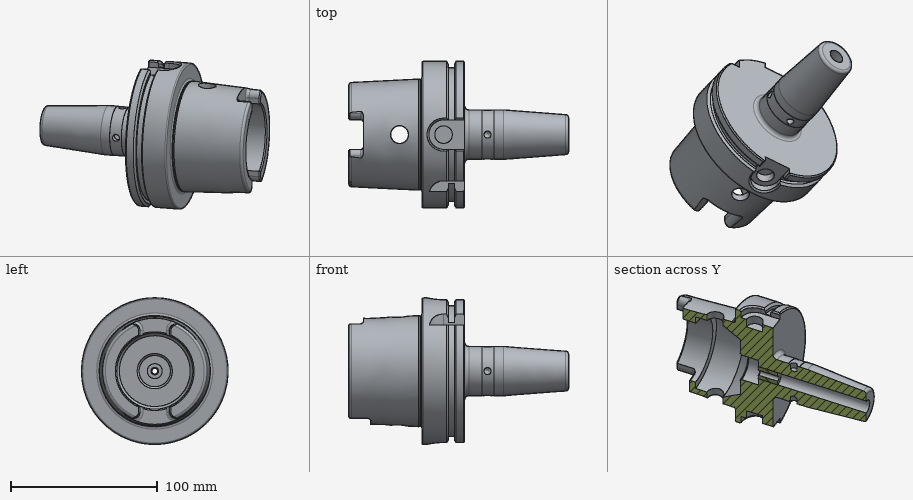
import cadquery as cq
import math

total_length = 150.0
shank_length = 50.0
flange_end = 79.0
overshoot = 1.5

shank_front_radius = 35.5
shank_rear_radius = 38.0
shank_edge_fillet = 2.0
relief_start = 47.7
relief_slope = 0.9
relief_radius = 37.6
root_length = 0.7
root_radius = 39.6
root_arc_radius = 2.8

flange_radius = 100.0 / 2
flange_edge_size = 0.9
groove_start = 66.7
groove_end = 73.2
groove_lip_width = 1.2
groove_lip_depth = 2.1
groove_radius = 45.7

neck_radius = 17.0
neck_fillet = 2.8
band_start = 90.9
band_end = 99.1
band_radius = 16.8
nose_start = 105.4
nose_angle = 4.4
nose_fillet = 2.2

mouth_radius = 26.0
mouth_chamfer = 0.9
mouth_depth = 20.0
cavity_radius = 31.5
cavity_end = 41.0
cavity_floor_radius = 24.1
cavity_cone_angle = 30.0
pipe_radius = 10.6
pipe_chamfer = 1.3
pipe_floor = 67.5

screw_radius = 5.1
screw_length = 15.0
screw_bore_radius = 2.0
screw_bore_chamfer = 0.6

slot_half_width = 10.0
upper_slot_depth = 10.0
lower_slot_depth = 15.0
slot_flare_radius = 4.5
slot_flare_height = 27.7
slot_floor_fillet = 2.1
slot_edge_chamfer = 0.9

keyway_x = 64.6
keyway_half_width = 10.0
keyway_floor = 44.0
keyway_chamfer = 1.2
keyway_hole_radius = 6.0
keyway_hole_depth = 6.6
notch_offset = 31.5
notch_radius = 10.0

clamp_hole_x = 34.6
clamp_hole_radius = 6.0
neck_hole_x = 94.6
neck_hole_radius = 2.4
neck_hole_depth = 4.5
drill_point_angle = 118.0


def revolve_about_x(profile):
    return profile.close().revolve(360, (0, 0, 0), (1, 0, 0))


def make_outer_body():
    """Shank, flange, neck and nose as one revolved shape."""
    nose_radius = neck_radius - (total_length - nose_start) * math.tan(math.radians(nose_angle))
    groove_lip_radius = flange_radius - groove_lip_depth
    flange_edge_radius = flange_radius - flange_edge_size
    profile = (
        cq.Workplane("XY")
        .lineTo(0, shank_front_radius)
        .lineTo(relief_start, shank_rear_radius)
        .lineTo(relief_start + relief_slope, relief_radius)
        .lineTo(shank_length - root_length, relief_radius)
        .radiusArc((shank_length, root_radius), -root_arc_radius)
        .lineTo(shank_length, flange_edge_radius)
        .radiusArc((shank_length + flange_edge_size, flange_radius), flange_edge_size)
        .lineTo(groove_start, flange_radius)
        .lineTo(groove_start + groove_lip_width, groove_lip_radius)
        .lineTo(groove_start + groove_lip_width, groove_radius)
        .lineTo(groove_end - groove_lip_width, groove_radius)
        .lineTo(groove_end - groove_lip_width, groove_lip_radius)
        .lineTo(groove_end, flange_radius)
        .lineTo(flange_end - flange_edge_size, flange_radius)
        .lineTo(flange_end, flange_edge_radius)
        .lineTo(flange_end, neck_radius + neck_fillet)
        .radiusArc((flange_end + neck_fillet, neck_radius), -neck_fillet)
        .lineTo(band_start, neck_radius)
        .lineTo(band_start, band_radius)
        .lineTo(band_end, band_radius)
        .lineTo(band_end, neck_radius)
        .lineTo(nose_start, neck_radius)
        .lineTo(total_length, nose_radius)
        .lineTo(total_length, 0)
    )
    body = revolve_about_x(profile)
    return body.faces("<X").edges().fillet(shank_edge_fillet).faces(">X").edges().fillet(nose_fillet)


def make_cavity():
    """Clamping cavity, coolant pipe pocket and the straight bore on through to the nose."""
    cone_slope = math.tan(math.radians(cavity_cone_angle))
    cavity_floor = cavity_end + (cavity_radius - cavity_floor_radius) / cone_slope
    profile = (
        cq.Workplane("XY")
        .lineTo(0, mouth_radius + mouth_chamfer)
        .lineTo(mouth_chamfer, mouth_radius)
        .lineTo(mouth_depth, mouth_radius)
        .lineTo(mouth_depth, cavity_radius)
        .lineTo(cavity_end, cavity_radius)
        .lineTo(cavity_floor, cavity_floor_radius)
        .lineTo(cavity_floor, pipe_radius + pipe_chamfer)
        .lineTo(cavity_floor + pipe_chamfer, pipe_radius)
        .lineTo(pipe_floor, pipe_radius)
        .lineTo(pipe_floor, screw_radius)
        .lineTo(total_length, screw_radius)
        .lineTo(total_length, 0)
    )
    return revolve_about_x(profile)


def slot_outline(half_width, flare_radius):
    """Slot section across the axis: sides that flare in quarter circles into flat shoulders."""
    flare_half_width = half_width + flare_radius
    flare_top = slot_flare_height + flare_radius
    return (
        cq.Workplane("YZ")
        .moveTo(-half_width, 0)
        .lineTo(-half_width, slot_flare_height)
        .radiusArc((-flare_half_width, flare_top), -flare_radius)
        .lineTo(-flange_radius, flare_top)
        .lineTo(-flange_radius, flange_radius)
        .lineTo(flange_radius, flange_radius)
        .lineTo(flange_radius, flare_top)
        .lineTo(flare_half_width, flare_top)
        .radiusArc((half_width, slot_flare_height), -flare_radius)
        .lineTo(half_width, 0)
        .close()
    )


def make_drive_slot(depth):
    """Cutter for the upper drive slot: rounded floor, chamfered entry, chamfer from floor to mouth."""
    slot = slot_outline(slot_half_width, slot_flare_radius).extrude(depth)
    slot = slot.faces(">X").edges().fillet(slot_floor_fillet)
    entry_half_width = slot_half_width + slot_edge_chamfer
    entry_flare_radius = slot_flare_radius - slot_edge_chamfer
    entry = slot_outline(entry_half_width, entry_flare_radius).extrude(slot_edge_chamfer, taper=45)
    floor_half_width = slot_half_width - slot_floor_fillet
    floor_plane = cq.Workplane("YZ", origin=(depth, 0, 0))
    floor_strip = (
        floor_plane.rect(2 * floor_half_width, flange_radius, centered=(True, False)).extrude(mouth_chamfer)
    )
    floor_cone = floor_plane.circle(mouth_radius + mouth_chamfer).extrude(mouth_chamfer, taper=45)
    floor_rim = floor_cone.intersect(floor_strip)
    return slot.union(entry).union(floor_rim)


def make_keyway():
    """Cutter for the keyway at +Z: round inner end, open at the nose side, chamfered rim, blind hole."""
    length = flange_end - keyway_x + overshoot
    floor_plane = cq.Workplane("XY", origin=(keyway_x, 0, keyway_floor))
    pocket = floor_plane.circle(keyway_half_width).extrude(flange_radius - keyway_floor)
    passage = (
        floor_plane.rect(length, 2 * keyway_half_width, centered=(False, True))
        .extrude(flange_radius - keyway_floor)
    )
    disc = (
        cq.Workplane("YZ", origin=(shank_length, 0, 0))
        .circle(flange_radius)
        .extrude(flange_end + overshoot - shank_length)
    )
    rim_box = cq.selectors.BoxSelector(
        (shank_length, -keyway_half_width - overshoot, keyway_floor + overshoot),
        (flange_end, keyway_half_width + overshoot, flange_radius + overshoot),
    )
    slotted_disc = disc.cut(pocket.union(passage)).edges(rim_box).chamfer(keyway_chamfer)
    keyway = disc.cut(slotted_disc)
    hole = (
        cq.Workplane("XY", origin=(keyway_x, 0, keyway_floor - keyway_hole_depth))
        .circle(keyway_hole_radius)
        .extrude(keyway_hole_depth)
    )
    return keyway.union(hole)


def make_corner_notch():
    """Cutter for the square corner notch at -Y, +Z with a round inner end."""
    length = flange_end - keyway_x + overshoot
    return (
        cq.Workplane("XY", origin=(keyway_x, 0, notch_offset))
        .moveTo(length, -notch_offset)
        .lineTo(0, -notch_offset)
        .radiusArc((-notch_radius, -notch_offset - notch_radius), -notch_radius)
        .lineTo(-notch_radius, -flange_radius)
        .lineTo(length, -flange_radius)
        .close()
        .extrude(flange_radius - notch_offset)
    )


def make_clamp_hole():
    return (
        cq.Workplane("XY", origin=(clamp_hole_x, 0, -flange_radius))
        .circle(clamp_hole_radius)
        .extrude(2 * flange_radius)
    )


def make_neck_hole():
    """Cutter for a blind drilled hole entering the neck from +Z."""
    point_length = neck_hole_radius / math.tan(math.radians(drill_point_angle / 2))
    hole_floor = band_radius - neck_hole_depth
    return (
        cq.Workplane("XZ", origin=(neck_hole_x, 0, 0))
        .moveTo(0, hole_floor - point_length)
        .lineTo(neck_hole_radius, hole_floor)
        .lineTo(neck_hole_radius, band_radius + overshoot)
        .lineTo(0, band_radius + overshoot)
        .close()
        .revolve(360, (0, 0, 0), (0, 1, 0))
    )


def turned(cutter, angle):
    return cutter.rotate((0, 0, 0), (1, 0, 0), angle)


def make_holder():
    holder = make_outer_body().cut(make_cavity())
    holder = holder.cut(make_drive_slot(upper_slot_depth))
    holder = holder.cut(turned(make_drive_slot(lower_slot_depth), 180))
    for angle in (0, 180):
        holder = holder.cut(turned(make_keyway(), angle))
    holder = holder.cut(make_corner_notch())
    holder = holder.cut(make_clamp_hole())
    for angle in (0, 90, 180, 270):
        holder = holder.cut(turned(make_neck_hole(), angle))
    return holder.solids()


def make_stop_screw():
    """Hollow stop screw, flush with the floor of the coolant pipe pocket."""
    screw = (
        cq.Workplane("YZ", origin=(pipe_floor, 0, 0))
        .circle(screw_radius)
        .circle(screw_bore_radius)
        .extrude(screw_length)
    )
    bore_rim = cq.selectors.RadiusNthSelector(0)
    return screw.faces("<X").edges(bore_rim).chamfer(screw_bore_chamfer)


holder = make_holder()
stop_screw = make_stop_screw()
result = cq.Compound.makeCompound([holder.val(), stop_screw.val()])